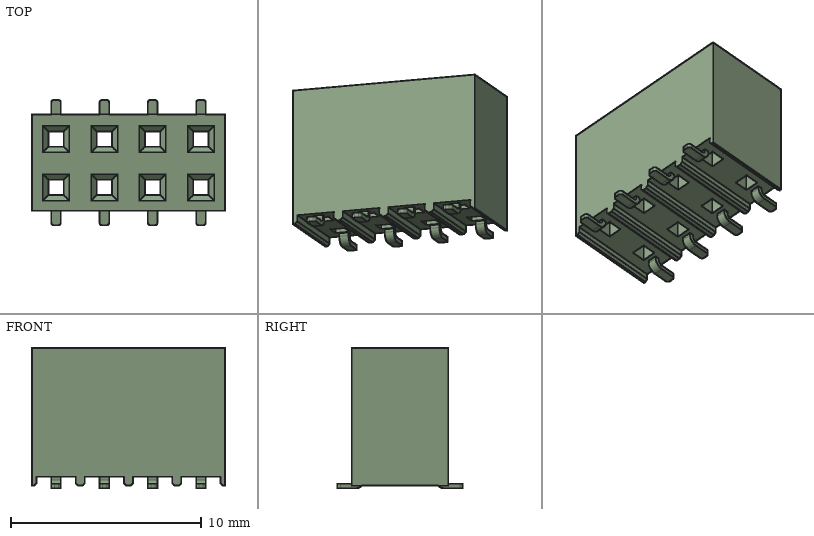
import cadquery as cq
import math

columns = 4
pitch = 2.54
row_offset = pitch / 2

body_length = columns * pitch
body_width = 2 * pitch
overall_width = 6.6
overall_height = 7.4
standoff = 0.14
body_height = overall_height - standoff

channel_width = 2.05
channel_depth = 0.47
rib_chamfer = 0.13

entry_size = 1.4
socket_size = 0.79
entry_depth = 0.3
socket_shift_y = -0.03

tail_width = 0.52
tail_thickness = 0.25
outer_bend_radius = 0.47
inner_bend_radius = outer_bend_radius - tail_thickness
bend_center_y = 2.34
leg_top = 1.22
tip_radius = 0.15

column_positions = [(i - (columns - 1) / 2) * pitch for i in range(columns)]


def make_housing():
    """Plain block raised above the seating plane of the tails."""
    return cq.Workplane("XY").workplane(offset=standoff).rect(body_length, body_width).extrude(body_height)


def make_channel(x):
    """Channel through the full width, flaring at the bottom to chamfer the ribs."""
    half = channel_width / 2
    flared = half + rib_chamfer
    roof = standoff + channel_depth
    return (
        cq.Workplane("XZ", origin=(x, 0, 0))
        .polyline([
            (-flared, standoff),
            (-half, standoff + rib_chamfer),
            (-half, roof),
            (half, roof),
            (half, standoff + rib_chamfer),
            (flared, standoff),
        ])
        .close()
        .extrude(body_width / 2, both=True)
    )


def make_socket(x, y):
    """Square through hole with a pyramidal lead-in at the top face."""
    hole = cq.Workplane("XY", origin=(x, y, 0)).rect(socket_size, socket_size).extrude(overall_height)
    entry = (
        cq.Workplane("XY", origin=(x, y, overall_height))
        .rect(entry_size, entry_size)
        .workplane(offset=-entry_depth)
        .rect(socket_size, socket_size)
        .loft(ruled=True)
    )
    return hole.union(entry)


def make_tail(x):
    """Tail on the +Y side: a flat foot bent up into a leg embedded in the housing."""
    tip_y = overall_width / 2
    bend = cq.Workplane("YZ", origin=(x, 0, 0))
    diagonal = math.cos(math.radians(45))

    def bend_midpoint(radius):
        return (bend_center_y - radius * diagonal, outer_bend_radius - radius * diagonal)

    profile = (
        bend.moveTo(tip_y, 0)
        .lineTo(bend_center_y, 0)
        .threePointArc(bend_midpoint(outer_bend_radius), (bend_center_y - outer_bend_radius, outer_bend_radius))
        .lineTo(bend_center_y - outer_bend_radius, leg_top)
        .lineTo(bend_center_y - inner_bend_radius, leg_top)
        .lineTo(bend_center_y - inner_bend_radius, outer_bend_radius)
        .threePointArc(bend_midpoint(inner_bend_radius), (bend_center_y, tail_thickness))
        .lineTo(tip_y, tail_thickness)
        .close()
    )
    tail = profile.extrude(tail_width / 2, both=True)
    return tail.faces(">Y").edges("|Z").fillet(tip_radius)


result = make_housing()
for column_x in column_positions:
    result = result.cut(make_channel(column_x))
    for row_y in (-row_offset, row_offset):
        result = result.cut(make_socket(column_x, row_y + socket_shift_y))
for column_x in column_positions:
    tail = make_tail(column_x)
    result = result.union(tail).union(tail.mirror("XZ"))